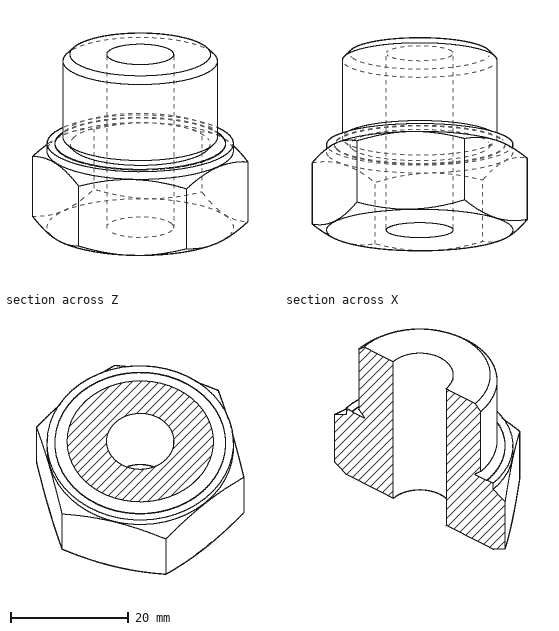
import cadquery as cq
import math

across_corners = 36.95
hex_height = 13.67
corner_chamfer_angle = 30.0

collar_diameter = 31.9
collar_top = 15.05
seal_diameter = 29.2
seal_depth = 0.13
seal_floor = collar_top - seal_depth

total_height = 31.0
spigot_diameter = 26.45
tip_diameter = 24.1
neck_diameter = 23.9
tip_chamfer = (spigot_diameter - tip_diameter) / 2
neck_chamfer = (spigot_diameter - neck_diameter) / 2

bore_diameter = 11.45


def make_hexagon():
    """Hexagon with corners on Y and both ends chamfered by a cone."""
    prism = (
        cq.Workplane("XY")
        .polygon(6, across_corners)
        .extrude(hex_height)
        .rotate((0, 0, 0), (0, 0, 1), 90)
    )
    corner_radius = across_corners / 2
    end_radius = collar_diameter / 2
    corner_drop = (corner_radius - end_radius) * math.tan(math.radians(corner_chamfer_angle))
    envelope = (
        cq.Workplane("XZ")
        .moveTo(0, 0)
        .lineTo(end_radius, 0)
        .lineTo(corner_radius, corner_drop)
        .lineTo(corner_radius, hex_height - corner_drop)
        .lineTo(end_radius, hex_height)
        .lineTo(0, hex_height)
        .close()
        .revolve(360, (0, 0, 0), (0, 1, 0))
    )
    return prism.intersect(envelope)


def make_collar():
    """Round collar with the seal recess sunk into its upper face."""
    return (
        cq.Workplane("XY")
        .circle(collar_diameter / 2)
        .extrude(collar_top)
        .faces(">Z")
        .workplane()
        .hole(seal_diameter, seal_depth)
    )


def make_spigot():
    """Cylinder chamfered at its tip and where it meets the recess floor."""
    return (
        cq.Workplane("XY", origin=(0, 0, seal_floor))
        .circle(spigot_diameter / 2)
        .extrude(total_height - seal_floor)
        .faces(">Z")
        .chamfer(tip_chamfer)
        .faces("<Z")
        .chamfer(neck_chamfer)
    )


def make_bore():
    return cq.Workplane("XY").circle(bore_diameter / 2).extrude(total_height)


result = make_hexagon().union(make_collar()).union(make_spigot()).cut(make_bore())